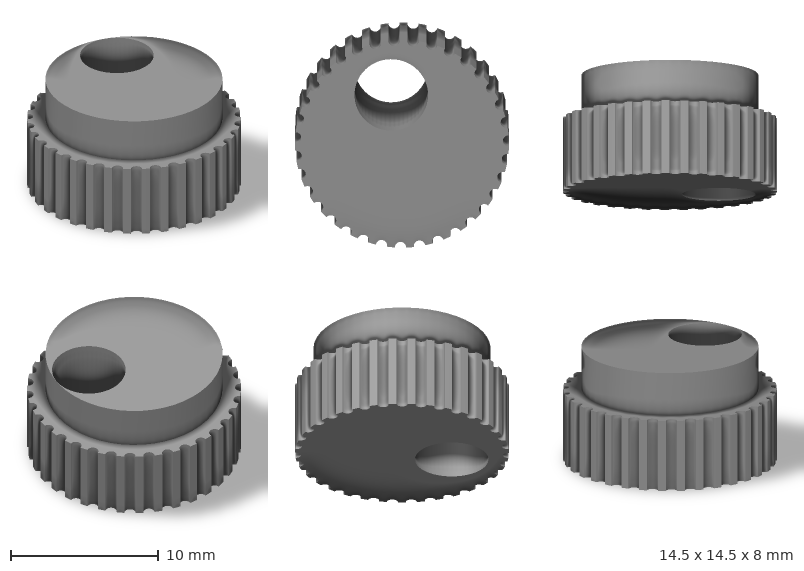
import cadquery as cq

rim_diameter = 14.5
rim_height = 5.0
groove_count = 35
groove_diameter = 0.75
groove_center_radius = 7.22

boss_diameter = 12.0
total_height = 8.0

bore_diameter = 4.99
bore_offset = 3.5


def toothed_rim():
    """Disc with evenly spaced round grooves, one of them facing -Y."""
    disc = cq.Workplane("XY").circle(rim_diameter / 2).extrude(rim_height)
    grooves = (
        cq.Workplane("XY")
        .polarArray(groove_center_radius, -90, 360, groove_count)
        .circle(groove_diameter / 2)
        .extrude(rim_height)
    )
    return disc.cut(grooves)


def boss():
    return cq.Workplane("XY").circle(boss_diameter / 2).extrude(total_height)


def bore():
    return cq.Workplane("XY").center(-bore_offset, 0).circle(bore_diameter / 2).extrude(total_height)


result = toothed_rim().union(boss()).cut(bore())